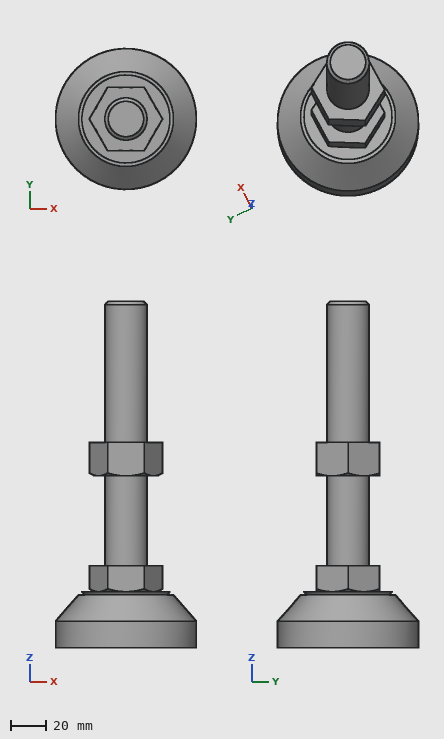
import cadquery as cq
import math

TOTAL_HEIGHT = 196.5

FOOT_RADIUS = 39.99
FOOT_RIM_HEIGHT = 15.1
FOOT_HEIGHT = 30.0
SEAT_RADIUS = 27.0

COLLAR_TOP_RADIUS = 25.0
COLLAR_BOTTOM_RADIUS = 23.5
COLLAR_HEIGHT = 1.8
ROD_RADIUS = 12.0
ROD_CHAMFER = 2.0

HEX_ACROSS_FLATS = 36.0
HEX_ACROSS_CORNERS = HEX_ACROSS_FLATS / math.cos(math.pi / 6)
BEVEL_ANGLE = math.radians(30)
FIXED_HEX_HEIGHT = 14.7
NUT_BOTTOM = 97.5
NUT_HEIGHT = 19.0

COLLAR_TOP = FOOT_HEIGHT + COLLAR_HEIGHT


def make_foot():
    """Revolve the foot profile about the vertical axis."""
    return (
        cq.Workplane("XZ")
        .moveTo(0, 0)
        .lineTo(FOOT_RADIUS, 0)
        .lineTo(FOOT_RADIUS, FOOT_RIM_HEIGHT)
        .lineTo(SEAT_RADIUS, FOOT_HEIGHT)
        .lineTo(0, FOOT_HEIGHT)
        .close()
        .revolve(360, (0, 0, 0), (0, 1, 0))
    )


def make_bevelled_hex(bottom, height):
    """Hexagonal prism whose bottom corners are cut back by a cone."""
    prism = (
        cq.Workplane("XY")
        .workplane(offset=bottom)
        .polygon(6, HEX_ACROSS_CORNERS)
        .extrude(height)
    )
    inner_radius = HEX_ACROSS_FLATS / 2
    outer_radius = HEX_ACROSS_CORNERS / 2
    bevel_height = (outer_radius - inner_radius) * math.tan(BEVEL_ANGLE)
    envelope = (
        cq.Workplane("XZ")
        .moveTo(0, bottom)
        .lineTo(inner_radius, bottom)
        .lineTo(outer_radius, bottom + bevel_height)
        .lineTo(outer_radius, bottom + height)
        .lineTo(0, bottom + height)
        .close()
        .revolve(360, (0, 0, 0), (0, 1, 0))
    )
    return prism.intersect(envelope)


def make_collar():
    """Thin disc that widens upward from the foot's seat."""
    return (
        cq.Workplane("XY")
        .workplane(offset=FOOT_HEIGHT)
        .circle(COLLAR_BOTTOM_RADIUS)
        .workplane(offset=COLLAR_HEIGHT)
        .circle(COLLAR_TOP_RADIUS)
        .loft(ruled=True)
    )


def make_rod():
    """Round rod with a chamfered tip, standing on the collar."""
    return (
        cq.Workplane("XY")
        .workplane(offset=COLLAR_TOP)
        .circle(ROD_RADIUS)
        .extrude(TOTAL_HEIGHT - COLLAR_TOP)
        .faces(">Z")
        .chamfer(ROD_CHAMFER)
    )


def make_spindle():
    """Join the collar, rod, fixed hexagon and nut into one body."""
    fixed_hex = make_bevelled_hex(COLLAR_TOP, FIXED_HEX_HEIGHT)
    nut = make_bevelled_hex(NUT_BOTTOM, NUT_HEIGHT)
    return make_collar().union(make_rod()).union(fixed_hex).union(nut)


foot = make_foot()
spindle = make_spindle()

result = cq.Compound.makeCompound([foot.val(), *spindle.vals()])